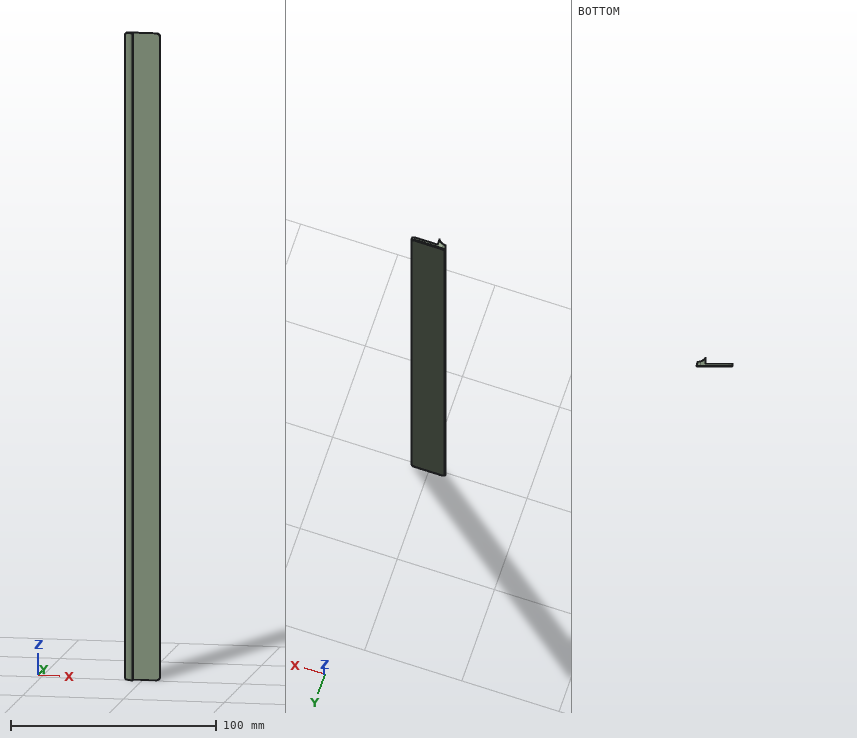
import cadquery as cq

length = 321.0
width = 17.5
depth = 4.5
plate_thickness = 1.5
lip_width = 4.5
corner_radius = 2.0

back_bevel = 0.48

nose_x = 0.5
nose_depth = 2.5

hollow_x = 3.2
hollow_depth = 3.2

back_y = depth / 2
left_x = -width / 2


def section_point(from_left, from_back):
    """Place a section point measured from the left side and the back face."""
    return (left_x + from_left, back_y - from_back)


def make_strip():
    return (
        cq.Workplane("XY")
        .workplane(offset=-length / 2)
        .moveTo(*section_point(0, 0))
        .lineTo(*section_point(0, back_bevel))
        .lineTo(*section_point(nose_x, nose_depth))
        .threePointArc(section_point(hollow_x, hollow_depth), section_point(lip_width, depth))
        .lineTo(*section_point(lip_width, plate_thickness))
        .lineTo(*section_point(width, plate_thickness))
        .lineTo(*section_point(width, 0))
        .close()
        .extrude(length)
    )


def make_corner_outline():
    """Block with rounded corners and a beveled back that trims the strip."""
    return (
        cq.Workplane("XY")
        .box(width, depth, length)
        .edges("|Y")
        .fillet(corner_radius)
        .faces(">Y")
        .edges()
        .chamfer(back_bevel)
    )


result = make_strip().intersect(make_corner_outline())